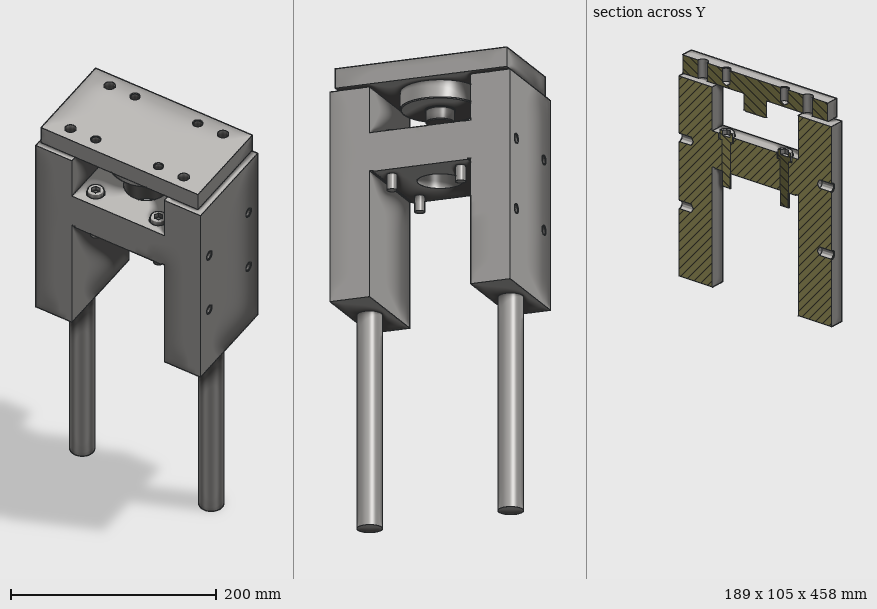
import cadquery as cq
import math


HOUSING_WIDTH = 189.0
HOUSING_DEPTH = 105.0
HOUSING_TOP = -24.0
HOUSING_HEIGHT = 215.0
LEG_GAP = 106.0
BAR_TOP = -71.0
BAR_HEIGHT = 40.0
RELIEF_WIDTH = 3.0
RELIEF_HEIGHT = 1.0
BAR_BORE_DIAMETER = 45.0

PLATE_WIDTH = 180.0
PLATE_DEPTH = 100.0
PLATE_THICKNESS = 20.0
CLEARANCE_HOLE_DIAMETER = 11.0
CLEARANCE_HOLE_SPACING_X = 130.0

ROD_DIAMETER = 25.0
ROD_SPACING = 148.0
OVERALL_HEIGHT = 458.0

DISC_DIAMETER = 78.0
DISC_THICKNESS = 18.5
EDGE_CHAMFER = 1.0
COLLAR_DIAMETER = 30.0
COLLAR_THICKNESS = 1.0
STUB_DIAMETER = 28.0
STUB_LENGTH = 13.5

PATTERN_PITCH = 72.0

THREAD_DIAMETER = 10.0
TAP_DRILL_DIAMETER = 8.38
TAP_DEPTH = 15.0
DRILL_TIP_ANGLE = 118.0
SIDE_HOLES_CENTRE = -126.0

SCREW_LENGTH = 50.0
HEAD_DIAMETER = 16.0
HEAD_HEIGHT = 10.0
HEAD_RIM_RADIUS = 1.0
SOCKET_ACROSS_FLATS = 8.0
SOCKET_DEPTH = 5.0
COUNTERBORE_DIAMETER = 18.0
COUNTERBORE_DEPTH = 6.0

BAR_BOTTOM = BAR_TOP - BAR_HEIGHT
HOUSING_BOTTOM = HOUSING_TOP - HOUSING_HEIGHT
SCREW_SEAT = BAR_TOP - COUNTERBORE_DEPTH


def block(width, depth, top, height):
    """A box centred on the Z axis, reaching down from the given level."""
    base = cq.Workplane("XY", origin=(0, 0, top - height))
    return base.box(width, depth, height, centered=(True, True, False))


def cylinder(diameter, top, length, centres=((0, 0),)):
    """Upright cylinders reaching down from the given level."""
    return cq.Workplane("XY", origin=(0, 0, top)).pushPoints(centres).circle(diameter / 2).extrude(-length)


def rectangle_corners(spacing_x, spacing_y):
    """The four corners of a rectangle centred on the origin."""
    return [(x * spacing_x / 2, y * spacing_y / 2) for x in (-1, 1) for y in (-1, 1)]


def tapped_hole():
    """Cutter for a blind tapped hole, drilled down from the origin, with a countersunk mouth."""
    drill_radius = TAP_DRILL_DIAMETER / 2
    mouth_radius = THREAD_DIAMETER / 2
    tip_length = drill_radius / math.tan(math.radians(DRILL_TIP_ANGLE / 2))
    return (
        cq.Workplane("XZ")
        .moveTo(0, 0)
        .lineTo(mouth_radius, 0)
        .lineTo(drill_radius, drill_radius - mouth_radius)
        .lineTo(drill_radius, -TAP_DEPTH)
        .lineTo(0, -TAP_DEPTH - tip_length)
        .close()
        .revolve(360, (0, 0, 0), (0, 1, 0))
    )


PATTERN_POINTS = rectangle_corners(PATTERN_PITCH, PATTERN_PITCH)
ROD_CENTRES = [(-ROD_SPACING / 2, 0), (ROD_SPACING / 2, 0)]


def make_housing():
    """H-shaped housing with rod bores, stepped screw holes and tapped sides."""
    housing = block(HOUSING_WIDTH, HOUSING_DEPTH, HOUSING_TOP, HOUSING_HEIGHT)
    housing = housing.cut(block(LEG_GAP, HOUSING_DEPTH, HOUSING_TOP, HOUSING_TOP - BAR_TOP))
    housing = housing.cut(block(LEG_GAP, HOUSING_DEPTH, BAR_BOTTOM, BAR_BOTTOM - HOUSING_BOTTOM))

    for side in (-1, 1):
        groove = block(RELIEF_WIDTH, HOUSING_DEPTH, BAR_BOTTOM + RELIEF_HEIGHT, RELIEF_HEIGHT)
        housing = housing.cut(groove.translate((side * (LEG_GAP - RELIEF_WIDTH) / 2, 0, 0)))

    housing = housing.cut(cylinder(BAR_BORE_DIAMETER, BAR_TOP, BAR_HEIGHT))
    housing = housing.cut(cylinder(THREAD_DIAMETER, BAR_TOP, BAR_HEIGHT, PATTERN_POINTS))
    housing = housing.cut(cylinder(COUNTERBORE_DIAMETER, BAR_TOP, COUNTERBORE_DEPTH, PATTERN_POINTS))

    housing = housing.cut(cylinder(ROD_DIAMETER, HOUSING_TOP, HOUSING_HEIGHT, ROD_CENTRES))

    for side in (-1, 1):
        cutter = tapped_hole().rotate((0, 0, 0), (0, 1, 0), side * 90)
        for y, z in PATTERN_POINTS:
            housing = housing.cut(cutter.translate((side * HOUSING_WIDTH / 2, y, SIDE_HOLES_CENTRE + z)))
    return housing


def make_slide():
    """End plate with its guide rods, coupling disc, collar and stub."""
    slide = block(PLATE_WIDTH, PLATE_DEPTH, 0, PLATE_THICKNESS)
    clearance_points = rectangle_corners(CLEARANCE_HOLE_SPACING_X, PATTERN_PITCH)
    slide = slide.cut(cylinder(CLEARANCE_HOLE_DIAMETER, 0, PLATE_THICKNESS, clearance_points))
    for x, y in PATTERN_POINTS:
        slide = slide.cut(tapped_hole().translate((x, y, 0)))

    rod_length = OVERALL_HEIGHT - PLATE_THICKNESS
    slide = slide.union(cylinder(ROD_DIAMETER, -PLATE_THICKNESS, rod_length, ROD_CENTRES))

    disc_bottom = -PLATE_THICKNESS - DISC_THICKNESS
    disc = cylinder(DISC_DIAMETER, -PLATE_THICKNESS, DISC_THICKNESS).faces("<Z").chamfer(EDGE_CHAMFER)
    collar = cylinder(COLLAR_DIAMETER, disc_bottom, COLLAR_THICKNESS)
    stub = cylinder(STUB_DIAMETER, disc_bottom, STUB_LENGTH).faces("<Z").chamfer(EDGE_CHAMFER)
    return slide.union(disc).union(collar).union(stub)


def make_screw(x, y):
    """Socket head screw whose head rests on the counterbore floor."""
    head_top = SCREW_SEAT + HEAD_HEIGHT
    head = cylinder(HEAD_DIAMETER, head_top, HEAD_HEIGHT).faces(">Z").edges().fillet(HEAD_RIM_RADIUS)
    shank = cylinder(THREAD_DIAMETER, SCREW_SEAT, SCREW_LENGTH)
    across_corners = SOCKET_ACROSS_FLATS / math.cos(math.pi / 6)
    socket = cq.Workplane("XY", origin=(0, 0, head_top)).polygon(6, across_corners).extrude(-SOCKET_DEPTH)
    return head.union(shank).cut(socket).translate((x, y, 0))


housing = make_housing()
slide = make_slide()
screws = [make_screw(x, y) for x, y in PATTERN_POINTS]

result = cq.Compound.makeCompound([housing.val(), slide.val(), *[screw.val() for screw in screws]])